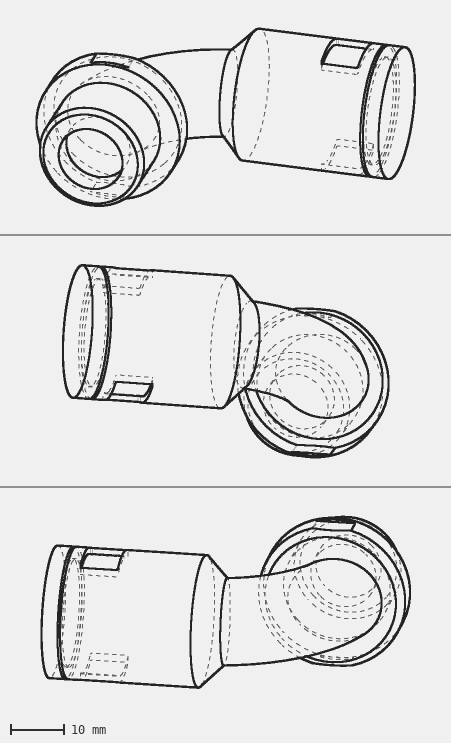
import cadquery as cq
import math

overall_x = 64.0
overall_y = 47.0

stub_diameter = 20.4
stub_length = 12.0
stub_chamfer = 0.95
bore_diameter = 12.5
bore_depth = 5.25

flange_diameter = 28.0
flange_thickness = 6.6
flange_top_diameter = 25.0
flat_width = 7.35
flat_lip = 1.0

pipe_diameter = 16.45
bend_radius = 25.5
bend_center_x = 22.5

socket_diameter = 25.0
socket_cylinder_length = 28.5
cone_length = 6.4
groove_diameter = 20.5
groove_width = 0.5
collar_length = 3.1

window_length = 7.2
window_width = 11.0
window_depth = 1.2
window_end_offset = 6.1
window_corner_radius = 0.3

flange_top = stub_length + flange_thickness
flange_radius = flange_diameter / 2
flange_chamfer = (flange_diameter - flange_top_diameter) / 2
socket_radius = socket_diameter / 2
socket_end = overall_x - flange_radius
socket_axis_y = overall_y - socket_radius
cone_end = socket_end - socket_cylinder_length


def y_cylinder(diameter, start, length):
    """Cylinder on the stub axis, growing towards +Y."""
    return cq.Workplane("XZ", origin=(0, start, 0)).circle(diameter / 2).extrude(-length)


def x_cylinder(diameter, start, length):
    """Cylinder on the socket axis, growing towards +X."""
    return cq.Workplane("YZ", origin=(start, socket_axis_y, 0)).circle(diameter / 2).extrude(length)


def make_stub():
    stub = y_cylinder(stub_diameter, 0, stub_length)
    return stub.faces("<Y").chamfer(stub_chamfer)


def make_flange():
    flange = y_cylinder(flange_diameter, stub_length, flange_thickness)
    flange = flange.faces(">Y").chamfer(flange_chamfer)
    flat_height = math.sqrt(flange_radius**2 - (flat_width / 2) ** 2)
    flat_start = stub_length + flat_lip
    flat_length = flange_top - flat_start
    for side in (1, -1):
        cutter = (
            cq.Workplane("XY", origin=(0, flat_start + flat_length / 2, side * flat_height))
            .rect(flange_diameter, flat_length)
            .extrude(side * flange_radius)
        )
        flange = flange.cut(cutter)
    return flange


def make_pipe():
    """Bend from inside the flange up to its tangent point on the socket axis."""
    center_y = socket_axis_y - bend_radius
    start_y = stub_length + flange_thickness / 2
    start_angle = math.pi - math.asin((start_y - center_y) / bend_radius)
    sweep_angle = math.degrees(start_angle) - 90
    return (
        cq.Workplane("YZ", origin=(bend_center_x, socket_axis_y, 0))
        .circle(pipe_diameter / 2)
        .revolve(sweep_angle, (-bend_radius, 0, 0), (-bend_radius, 1, 0))
    )


def make_window_cutter(side):
    window_center = socket_end - window_end_offset - window_length / 2
    block = (
        cq.Workplane("XY", origin=(window_center, socket_axis_y, 0))
        .rect(window_length, window_width)
        .extrude(side * socket_diameter)
        .edges("|Z")
        .fillet(window_corner_radius)
    )
    core = x_cylinder(socket_diameter - 2 * window_depth, cone_end, socket_cylinder_length)
    return block.cut(core)


def make_socket():
    tip_radius = socket_radius - cone_length
    socket = (
        cq.Workplane("XY", origin=(0, socket_axis_y, 0))
        .moveTo(cone_end - cone_length, 0)
        .lineTo(cone_end - cone_length, tip_radius)
        .lineTo(cone_end, socket_radius)
        .lineTo(socket_end, socket_radius)
        .lineTo(socket_end, 0)
        .close()
        .revolve(360, (0, 0, 0), (1, 0, 0))
    )
    groove_start = socket_end - collar_length - groove_width
    ring = x_cylinder(2 * socket_diameter, groove_start, groove_width)
    socket = socket.cut(ring.cut(x_cylinder(groove_diameter, groove_start, groove_width)))
    for side in (1, -1):
        socket = socket.cut(make_window_cutter(side))
    return socket


body = make_stub().union(make_flange()).union(make_pipe()).union(make_socket())
result = body.cut(y_cylinder(bore_diameter, 0, bore_depth))